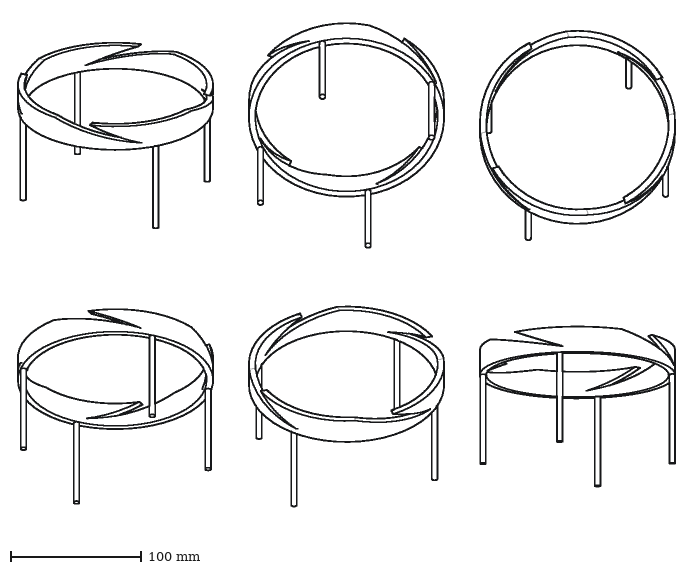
import cadquery as cq

ring_diameter = 150.0
bore_diameter = 140.0
overall_height = 90.0
ring_height = 20.0

notch_count = 4
notch_half_width = 15.0
notch_tip_offset = 50.4
notch_tip_height = 4.8

leg_diameter = 4.5
leg_length = overall_height - ring_height
leg_centers = [
    (-56.1, -46.0),
    (57.2, -44.5),
    (54.9, 47.4),
    (-56.1, 46.2),
]


def make_notch_cutter():
    """Triangular prism running from the ring's axis out through the -Y wall."""
    return (
        cq.Workplane("XZ")
        .moveTo(-notch_half_width, ring_height)
        .lineTo(notch_half_width, ring_height)
        .lineTo(notch_tip_offset, notch_tip_height)
        .close()
        .extrude(ring_diameter)
    )


def make_ring():
    """Plain ring with the notches repeated evenly around its top edge."""
    ring = (
        cq.Workplane("XY")
        .circle(ring_diameter / 2)
        .circle(bore_diameter / 2)
        .extrude(ring_height)
    )
    cutter = make_notch_cutter()
    for index in range(notch_count):
        angle = index * 360.0 / notch_count
        ring = ring.cut(cutter.rotate((0, 0, 0), (0, 0, 1), angle))
    return ring


def make_leg(center):
    """Round leg hanging from the underside of the ring."""
    return cq.Workplane("XY").center(*center).circle(leg_diameter / 2).extrude(-leg_length)


ring = make_ring()
legs = [make_leg(center) for center in leg_centers]

result = cq.Compound.makeCompound([ring.val(), *[leg.val() for leg in legs]])